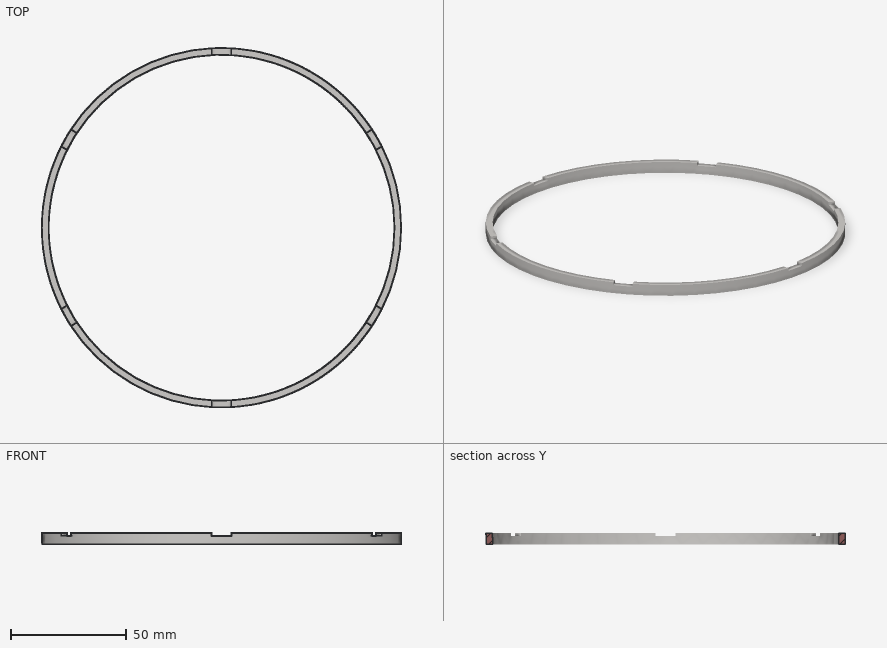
import cadquery as cq

outer_diameter = 156.0
inner_diameter = 150.0
ring_height = 5.0

notch_count = 6
notch_width = 8.5
notch_depth = 1.25
first_notch_angle = 90.0


def make_ring():
    """Plain flat ring standing on the XY plane."""
    return (
        cq.Workplane("XY")
        .circle(outer_diameter / 2)
        .circle(inner_diameter / 2)
        .extrude(ring_height)
    )


def make_notch(angle):
    """Radial block, parallel-sided, that crosses the ring wall at the given angle."""
    return (
        cq.Workplane("XY")
        .workplane(offset=ring_height - notch_depth)
        .rect(outer_diameter, notch_width)
        .extrude(notch_depth)
        .translate((outer_diameter / 2, 0, 0))
        .rotate((0, 0, 0), (0, 0, 1), angle)
    )


result = make_ring()
for index in range(notch_count):
    notch_angle = first_notch_angle + index * 360.0 / notch_count
    result = result.cut(make_notch(notch_angle))